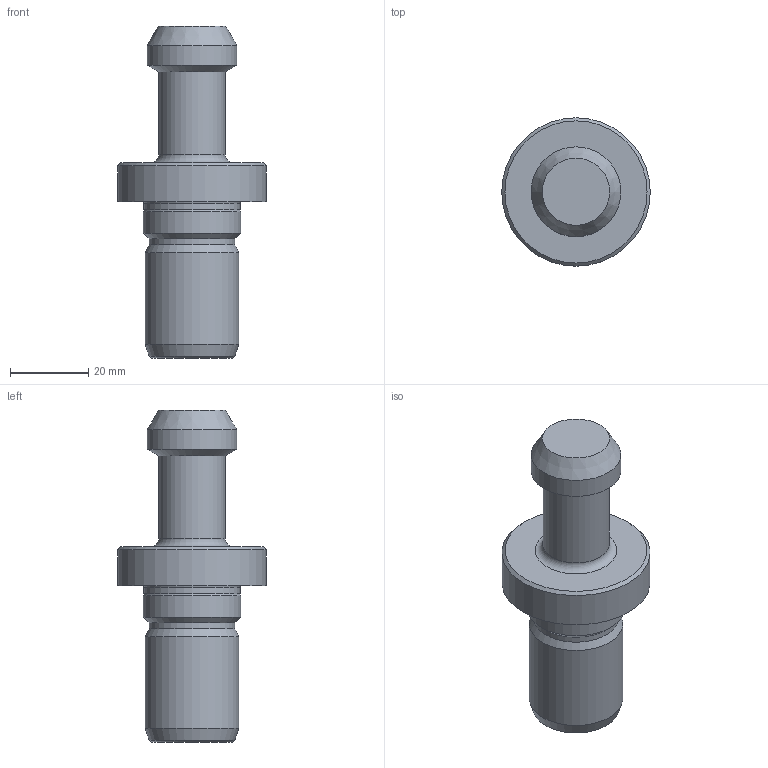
import cadquery as cq
import math


overall_length = 85.0
length_above_seat = 45.0
head_radius = 11.5
head_cone_height = 5.0
head_cone_half_angle = 30.0
head_underside_z = 35.0
head_underside_slope = 30.0
neck_radius = 8.5
neck_fillet = 2.0

flange_radius = 19.0
flange_thickness = 10.0
flange_chamfer = 0.8

pilot_radius = 12.5
pilot_length = 8.0
relief_width = 2.5
relief_depth = 0.2
relief_flare_radius = 1.0
relief_flare_height = 0.45
relief_ramp_length = 0.45

shank_radius = 12.0
shank_start_z = -13.0
undercut_radius = 11.0
undercut_bottom_z = -11.05
lead_in_height = 3.5
end_radius = 10.3
tip_edge_radius = 10.95
tip_edge_height = 0.45

end_z = length_above_seat - overall_length


def offset_over(length, angle_deg):
    """Sideways shift over `length` of a line tilted `angle_deg` from that direction."""
    return length * math.tan(math.radians(angle_deg))


def draw_head_and_neck(profile):
    top_radius = head_radius - offset_over(head_cone_height, head_cone_half_angle)
    underside_drop = offset_over(head_radius - neck_radius, head_underside_slope)
    fillet_centre = (neck_radius + neck_fillet, flange_thickness + neck_fillet)
    fillet_mid_offset = neck_fillet * math.sqrt(0.5)
    return (
        profile.lineTo(top_radius, length_above_seat)
        .lineTo(head_radius, length_above_seat - head_cone_height)
        .lineTo(head_radius, head_underside_z)
        .lineTo(neck_radius, head_underside_z - underside_drop)
        .lineTo(neck_radius, fillet_centre[1])
        .threePointArc(
            (fillet_centre[0] - fillet_mid_offset, fillet_centre[1] - fillet_mid_offset),
            (fillet_centre[0], flange_thickness),
        )
    )


def draw_flange(profile):
    return (
        profile.lineTo(flange_radius - flange_chamfer, flange_thickness)
        .lineTo(flange_radius, flange_thickness - flange_chamfer)
        .lineTo(flange_radius, 0)
    )


def draw_pilot(profile):
    relief_radius = pilot_radius - relief_depth
    flare_angle = math.asin(relief_flare_height / relief_flare_radius)

    def flare_point(angle):
        """Point on the flare, `angle` round from where it meets the groove floor."""
        return (
            relief_radius + relief_flare_radius * (1 - math.cos(angle)),
            relief_flare_radius * math.sin(angle) - relief_flare_height,
        )

    return (
        profile.lineTo(*flare_point(flare_angle))
        .threePointArc(flare_point(flare_angle / 2), flare_point(0))
        .lineTo(relief_radius, relief_ramp_length - relief_width)
        .lineTo(pilot_radius, -relief_width)
        .lineTo(pilot_radius, -pilot_length)
    )


def draw_shank(profile):
    undercut_top_z = -pilot_length - (pilot_radius - undercut_radius)
    return (
        profile.lineTo(undercut_radius, undercut_top_z)
        .lineTo(undercut_radius, undercut_bottom_z)
        .lineTo(shank_radius, shank_start_z)
        .lineTo(shank_radius, end_z + lead_in_height)
        .lineTo(tip_edge_radius, end_z + tip_edge_height)
        .lineTo(end_radius, end_z)
    )


outline = cq.Workplane("XZ").moveTo(0, length_above_seat)
outline = draw_head_and_neck(outline)
outline = draw_flange(outline)
outline = draw_pilot(outline)
outline = draw_shank(outline)

result = outline.lineTo(0, end_z).close().revolve(360, (0, 0, 0), (0, 1, 0))